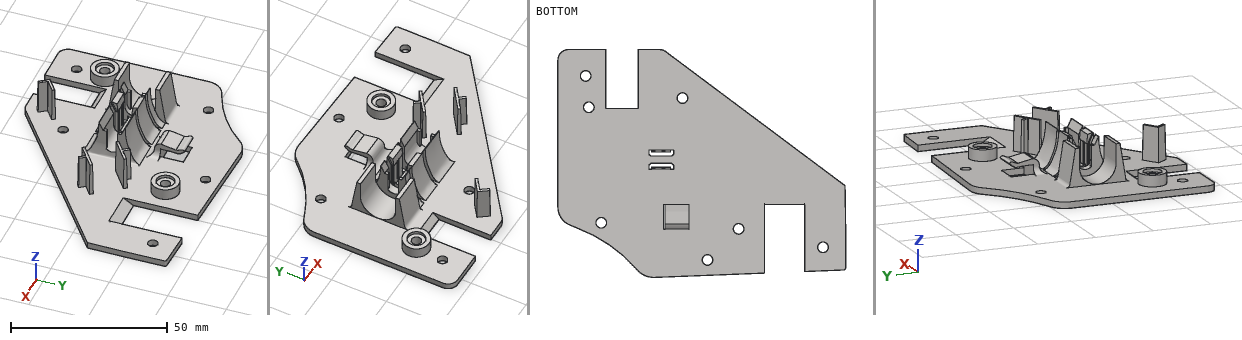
import cadquery as cq
import math

PLATE_LENGTH = 92.2
PLATE_WIDTH = 73.05
PLATE_THICKNESS = 2.2
CORNER_RADIUS = 3.5
PLATE_TIP = (PLATE_LENGTH, 70.65)
TIP_RADIUS = 0.7
TOP_Z = 15.0
HOLE_DIAMETER = 3.3
SCREW_HOLES = [(8.95, 8.5), (39.9, 15.6), (13.9, 55.5), (48.0, 67.4), (84.9, 63.4)]

LOWER_NOTCH_X = (15.4, 25.7)
LOWER_NOTCH_END = (18.9, 21.1)
LOWER_NOTCH_LAND = 0.3
UPPER_NOTCH_X = (66.2, 79.0)
UPPER_NOTCH_END = (49.7, 46.1)

BOSSES = [(10.0, 18.5), (57.9, 57.5)]
BOSS_DIAMETER = 9.2
BOSS_HEIGHT = 3.9
COUNTERBORE_DIAMETER = 6.1
COUNTERBORE_DEPTH = 1.0

CRADLE_Y = 35.3
CRADLE_HEIGHT = TOP_Z - PLATE_THICKNESS
BLOCK_X = (15.1, 25.2)
BLOCK_BORE_RADIUS = 6.4
BLOCK_BORE_FLOOR = 0.1
BLOCK_TOP_HALF = 7.75
BLOCK_FOOT_HALF = 10.8
BLOCK_FOOT = [(9.7, 1.0), (10.05, 0.4), (BLOCK_FOOT_HALF, 0)]

SADDLE_END_TOP = 47.8
SADDLE_END_BASE = 49.0
SADDLE_FLARE_HEIGHT = 4.6
SADDLE_BORE_RADIUS = 3.0
SADDLE_BORE_FLOOR = 2.3
SADDLE_MOUTH_Z = 10.05
SADDLE_MOUTH_HALF = 4.4
SADDLE_SIDE = [(9.7, 0), (6.3, 4.1), (5.35, 6.5), (4.7, 9.7), (4.5, CRADLE_HEIGHT)]
SADDLE_BASE_SLOPE = 0.3
LIP_HALF_GAP = 1.9
LIP_THICKNESS = 1.0
LIP_ROOT = 0.1
GAP_CENTRES = (28.7, 37.6)
GAP_BASE_WIDTH = 1.1
GAP_TOP_WIDTH = 1.6

RAIL_HALF = 1.2
SLOT_CORNER = 0.55
HOOK_X = (30.1, 36.2)
HOOK_BOTTOM_Z = 9.2
HOOK_ROOT = 0.2
HOOK_SECTION = [
    (SADDLE_MOUTH_HALF, CRADLE_HEIGHT),
    (2.7, 12.4),
    (2.4, HOOK_BOTTOM_Z),
    (SADDLE_BORE_RADIUS + HOOK_ROOT, HOOK_BOTTOM_Z),
]

FINGER_RIBS_X = [(30.2, 31.2), (33.4, 34.3)]
FINGER_RIB_HEIGHT = 0.2

LATCH_X = (34.3, 42.0)
LATCH_FRONT_Y = 47.6
LATCH_BACK_Y = 49.7
LATCH_FLARE_RADIUS = 2.4
WINDOW_X = (33.9, LATCH_X[1])
WINDOW_END_Y = 57.55

CLIP_ANGLE = 36.0
CLIP_HEIGHT = 11.7
CLIP_WALL = 1.3
CLIP_DRAFT = 1.0
TEE_LENGTH = 9.9
TEE_STEM = 3.0
TEE_UPPER = (57.4, 42.15)
TEE_LOWER = (64.0, 33.0)
ELL_CORNER = (30.6, 7.75)
ELL_LONG_LEG = 6.2
ELL_SHORT_LEG = 4.4


def box(x_range, y_range, z_range):
    """Axis-aligned box between the given limits."""
    size = [high - low for low, high in (x_range, y_range, z_range)]
    return cq.Workplane("XY").box(*size, centered=False).translate((x_range[0], y_range[0], z_range[0]))


def section_at(x, y=0.0, z=0.0):
    """Workplane for a cross-section in Y and Z that is extruded along +X."""
    return cq.Workplane(cq.Plane(origin=(x, y, z), xDir=(0, 1, 0), normal=(1, 0, 0)))


def length(span):
    return span[1] - span[0]


def mirrored(points):
    """The same outline points on the other side of the centre line, in reverse order."""
    return [(-y, z) for y, z in reversed(points)]


def make_plate():
    """Plate outline anticlockwise from the lower-left corner, with its holes, window and notches."""
    outline = (
        cq.Workplane("XY")
        .moveTo(CORNER_RADIUS, 0)
        .lineTo(32.5, 0)
        .tangentArcPoint((35.1, 1.1), relative=False)
        .lineTo(92.0, 43.6)
        .lineTo(PLATE_LENGTH, 56.3)
        .lineTo(*PLATE_TIP)
        .lineTo(31.2, PLATE_WIDTH)
        .threePointArc((28.5, 72.7), (26.3, 71.5))
        .lineTo(21.0, 66.1)
        .threePointArc((14.4, 61.2), (6.1, 57.2))
        .lineTo(4.1, 56.35)
        .threePointArc((1.2, 54.1), (0, 50.45))
        .lineTo(0, CORNER_RADIUS)
        .tangentArcPoint((CORNER_RADIUS, 0), relative=False)
        .close()
    )
    plate = outline.extrude(PLATE_THICKNESS)
    tip_edge = cq.selectors.NearestToPointSelector((*PLATE_TIP, PLATE_THICKNESS / 2))
    plate = plate.edges(tip_edge).fillet(TIP_RADIUS)
    holes = cq.Workplane("XY").pushPoints(SCREW_HOLES).circle(HOLE_DIAMETER / 2).extrude(PLATE_THICKNESS)
    window = box(WINDOW_X, (LATCH_BACK_Y, WINDOW_END_Y), (0, PLATE_THICKNESS))
    return plate.cut(holes).cut(window).cut(make_notches())


def make_notches():
    """Cutters for both notches, shaped in Y and Z and run along X."""
    bottom_y, top_y = LOWER_NOTCH_END
    lower = section_at(LOWER_NOTCH_X[0]).polyline([
        (0, 0),
        (bottom_y, 0),
        (bottom_y, LOWER_NOTCH_LAND),
        (top_y, PLATE_THICKNESS),
        (0, PLATE_THICKNESS),
    ]).close().extrude(length(LOWER_NOTCH_X))
    bottom_y, top_y = UPPER_NOTCH_END
    upper = section_at(UPPER_NOTCH_X[0]).polyline([
        (PLATE_WIDTH, 0),
        (bottom_y, 0),
        (top_y, PLATE_THICKNESS),
        (PLATE_WIDTH, PLATE_THICKNESS),
    ]).close().extrude(length(UPPER_NOTCH_X))
    return lower.union(upper)


def make_bosses():
    top = PLATE_THICKNESS + BOSS_HEIGHT
    return cq.Workplane("XY").pushPoints(BOSSES).circle(BOSS_DIAMETER / 2).extrude(top)


def make_boss_bores():
    """Screw holes through bosses and plate, with their counterbores."""
    top = PLATE_THICKNESS + BOSS_HEIGHT
    through = cq.Workplane("XY").pushPoints(BOSSES).circle(HOLE_DIAMETER / 2).extrude(top)
    counterbore = (
        cq.Workplane("XY", origin=(0, 0, top - COUNTERBORE_DEPTH))
        .pushPoints(BOSSES)
        .circle(COUNTERBORE_DIAMETER / 2)
        .extrude(COUNTERBORE_DEPTH)
    )
    return through.union(counterbore)


def make_block():
    """U block with leaning outer walls, filleted feet and a round-bottomed bore."""
    bore_z = BLOCK_BORE_FLOOR + BLOCK_BORE_RADIUS
    return (
        section_at(BLOCK_X[0], CRADLE_Y, PLATE_THICKNESS)
        .moveTo(BLOCK_TOP_HALF, CRADLE_HEIGHT)
        .lineTo(*BLOCK_FOOT[0])
        .threePointArc(*BLOCK_FOOT[1:])
        .lineTo(-BLOCK_FOOT_HALF, 0)
        .threePointArc(*mirrored(BLOCK_FOOT)[1:])
        .lineTo(-BLOCK_TOP_HALF, CRADLE_HEIGHT)
        .lineTo(-BLOCK_BORE_RADIUS, CRADLE_HEIGHT)
        .lineTo(-BLOCK_BORE_RADIUS, bore_z)
        .threePointArc((0, BLOCK_BORE_FLOOR), (BLOCK_BORE_RADIUS, bore_z))
        .lineTo(BLOCK_BORE_RADIUS, CRADLE_HEIGHT)
        .close()
        .extrude(length(BLOCK_X))
    )


def make_saddle():
    """Flared saddle with a V mouth over a round bore, end lips and crosswise gaps."""
    start_x = BLOCK_X[1]
    bore_z = SADDLE_BORE_FLOOR + SADDLE_BORE_RADIUS
    saddle = (
        section_at(start_x, CRADLE_Y, PLATE_THICKNESS)
        .moveTo(*SADDLE_SIDE[0])
        .spline(SADDLE_SIDE[1:], tangents=[(-1, SADDLE_BASE_SLOPE), (0, 1)], includeCurrent=True)
        .lineTo(SADDLE_MOUTH_HALF, CRADLE_HEIGHT)
        .lineTo(SADDLE_BORE_RADIUS, SADDLE_MOUTH_Z)
        .lineTo(SADDLE_BORE_RADIUS, bore_z)
        .threePointArc((0, SADDLE_BORE_FLOOR), (-SADDLE_BORE_RADIUS, bore_z))
        .lineTo(-SADDLE_BORE_RADIUS, SADDLE_MOUTH_Z)
        .lineTo(-SADDLE_MOUTH_HALF, CRADLE_HEIGHT)
        .lineTo(-SADDLE_SIDE[-1][0], CRADLE_HEIGHT)
        .spline(mirrored(SADDLE_SIDE)[1:], tangents=[(0, -1), (-1, -SADDLE_BASE_SLOPE)], includeCurrent=True)
        .close()
        .extrude(SADDLE_END_BASE - start_x)
    )
    lip_z = (PLATE_THICKNESS + SADDLE_BORE_FLOOR, PLATE_THICKNESS + SADDLE_MOUTH_Z)
    lip_y = (LIP_HALF_GAP, SADDLE_BORE_RADIUS + LIP_ROOT)
    for lip_x in (
        (start_x, start_x + LIP_THICKNESS),
        (SADDLE_END_TOP - LIP_THICKNESS, SADDLE_END_BASE),
    ):
        for side in (-1, 1):
            edges = sorted(CRADLE_Y + side * half for half in lip_y)
            saddle = saddle.union(box(lip_x, edges, lip_z))
    return saddle.intersect(make_saddle_end_shape(start_x)).cut(make_saddle_gaps())


def make_saddle_end_shape(start_x):
    """Side outline of the saddle: its far end flares out towards the plate along a quarter ellipse."""
    flare = SADDLE_END_BASE - SADDLE_END_TOP
    diagonal = math.sqrt(0.5)
    return (
        cq.Workplane("XZ", origin=(0, PLATE_WIDTH, PLATE_THICKNESS))
        .moveTo(start_x, 0)
        .lineTo(SADDLE_END_BASE, 0)
        .spline(
            [
                (SADDLE_END_BASE - flare * diagonal, SADDLE_FLARE_HEIGHT * (1 - diagonal)),
                (SADDLE_END_TOP, SADDLE_FLARE_HEIGHT),
            ],
            tangents=[(-1, 0), (0, 1)],
            includeCurrent=True,
        )
        .lineTo(SADDLE_END_TOP, CRADLE_HEIGHT)
        .lineTo(start_x, CRADLE_HEIGHT)
        .close()
        .extrude(PLATE_WIDTH)
    )


def make_saddle_gaps():
    """Crosswise cuts, slightly wider at the rim, that split the saddle into three segments."""
    gaps = cq.Workplane("XZ", origin=(0, PLATE_WIDTH, PLATE_THICKNESS))
    for centre in GAP_CENTRES:
        gaps = gaps.polyline([
            (centre - GAP_BASE_WIDTH / 2, 0),
            (centre + GAP_BASE_WIDTH / 2, 0),
            (centre + GAP_TOP_WIDTH / 2, CRADLE_HEIGHT),
            (centre - GAP_TOP_WIDTH / 2, CRADLE_HEIGHT),
        ]).close()
    return gaps.extrude(PLATE_WIDTH)


def make_finger_slots():
    """Two slots through the plate that part the centre rail from the hooked fingers."""
    left = GAP_CENTRES[0] + GAP_BASE_WIDTH / 2
    right = GAP_CENTRES[1] - GAP_BASE_WIDTH / 2
    slot = (
        cq.Workplane("XY")
        .polyline([
            (left, SADDLE_BORE_RADIUS),
            (left, RAIL_HALF + SLOT_CORNER),
            (left + SLOT_CORNER, RAIL_HALF),
            (right - SLOT_CORNER, RAIL_HALF),
            (right, RAIL_HALF + SLOT_CORNER),
            (right, SADDLE_BORE_RADIUS),
        ])
        .close()
        .extrude(PLATE_THICKNESS + SADDLE_MOUTH_Z)
    )
    return slot.union(slot.mirror("XZ")).translate((0, CRADLE_Y, 0))


def make_hooks():
    """Inward hooks at the tops of both fingers, with the ribs below them."""
    hook = section_at(HOOK_X[0]).polyline(HOOK_SECTION).close().extrude(length(HOOK_X))
    rib_y = (SADDLE_BORE_RADIUS - FINGER_RIB_HEIGHT, SADDLE_BORE_RADIUS + HOOK_ROOT)
    for rib_x in FINGER_RIBS_X:
        hook = hook.union(box(rib_x, rib_y, (0, HOOK_BOTTOM_Z)))
    return hook.union(hook.mirror("XZ")).translate((0, CRADLE_Y, PLATE_THICKNESS))


def make_latch():
    """Post and springy arm: one side profile across the width of the latch."""
    return (
        section_at(LATCH_X[0], 0, PLATE_THICKNESS)
        .moveTo(LATCH_FRONT_Y, 0)
        .lineTo(LATCH_BACK_Y, 0)
        .lineTo(LATCH_BACK_Y, 3.0)
        .lineTo(52.0, 3.0)
        .lineTo(55.9, 2.8)
        .threePointArc((57.0, 3.3), (58.0, 4.2))
        .threePointArc((57.6, 4.7), (57.0, 4.8))
        .lineTo(55.8, 4.2)
        .lineTo(55.0, 4.1)
        .lineTo(54.4, 4.2)
        .lineTo(49.9, 5.1)
        .threePointArc((48.3, 4.3), (LATCH_FRONT_Y, LATCH_FLARE_RADIUS))
        .close()
        .extrude(length(LATCH_X))
    )


def make_latch_foot():
    """Concave flare round three sides of the latch post; its back stays flat."""
    radius = LATCH_FLARE_RADIUS
    bulge = radius * (1 - math.sqrt(0.5))
    left, right = LATCH_X
    foot_y = LATCH_FRONT_Y - radius
    lengthwise = (
        section_at(left - radius, 0, PLATE_THICKNESS)
        .moveTo(foot_y, 0)
        .threePointArc((LATCH_FRONT_Y - bulge, bulge), (LATCH_FRONT_Y, radius))
        .lineTo(LATCH_BACK_Y, radius)
        .lineTo(LATCH_BACK_Y, 0)
        .close()
        .extrude(length(LATCH_X) + 2 * radius)
    )
    crosswise = (
        cq.Workplane("XZ", origin=(0, LATCH_BACK_Y, PLATE_THICKNESS))
        .moveTo(left - radius, 0)
        .threePointArc((left - bulge, bulge), (left, radius))
        .lineTo(right, radius)
        .threePointArc((right + bulge, bulge), (right + radius, 0))
        .close()
        .extrude(LATCH_BACK_Y - foot_y)
    )
    return lengthwise.intersect(crosswise)


def make_clip(points, position, angle):
    """Upright clip with drafted sides, from an outline turned and moved into place."""
    outline = cq.Workplane("XY").polyline(points).close().extrude(CLIP_HEIGHT, taper=CLIP_DRAFT)
    return outline.rotate((0, 0, 0), (0, 0, 1), angle).translate((*position, PLATE_THICKNESS))


def make_clips():
    """Two T-shaped clips facing away from each other and one L-shaped clip, with parallel bars."""
    half_wall = CLIP_WALL / 2
    half_bar = TEE_LENGTH / 2
    tee = [
        (-half_bar, -half_wall),
        (half_bar, -half_wall),
        (half_bar, half_wall),
        (half_wall, half_wall),
        (half_wall, TEE_STEM),
        (-half_wall, TEE_STEM),
        (-half_wall, half_wall),
        (-half_bar, half_wall),
    ]
    ell = [
        (0, 0),
        (0, -ELL_SHORT_LEG),
        (CLIP_WALL, -ELL_SHORT_LEG),
        (CLIP_WALL, -CLIP_WALL),
        (ELL_LONG_LEG, -CLIP_WALL),
        (ELL_LONG_LEG, 0),
    ]
    return [
        make_clip(tee, TEE_UPPER, CLIP_ANGLE),
        make_clip(tee, TEE_LOWER, CLIP_ANGLE + 180),
        make_clip(ell, ELL_CORNER, CLIP_ANGLE),
    ]


result = make_plate().union(make_bosses()).cut(make_boss_bores())
result = result.union(make_block()).union(make_saddle()).cut(make_finger_slots()).union(make_hooks())
result = result.union(make_latch()).union(make_latch_foot())
for clip in make_clips():
    result = result.union(clip)